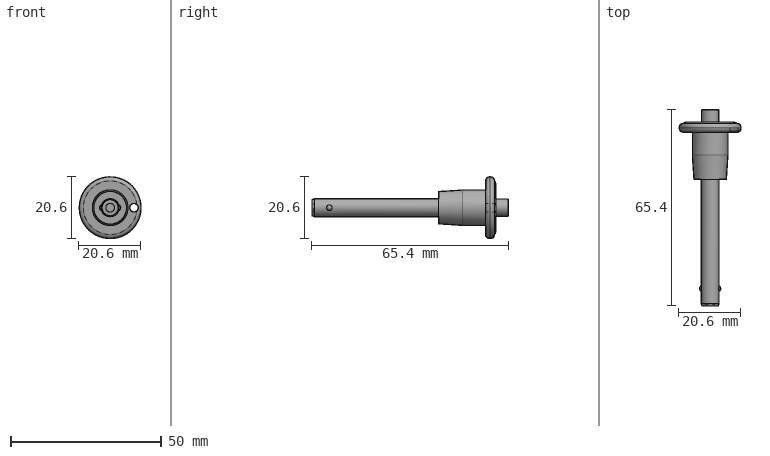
import cadquery as cq
import math

total_length = 65.4

shank_diameter = 6.0
tip_chamfer_length = 0.85
tip_chamfer_width = 0.3
recess_diameter = 2.9
recess_depth = 0.6

ball_diameter = 2.1
ball_span = 7.05
ball_from_tip = 5.8

collar_diameter = 11.9
collar_end_diameter = 10.85
collar_straight_length = 7.6
collar_taper_length = 8.05

flange_diameter = 20.6
rim_radius = 1.4
rim_band_width = 0.25
crown_height = 0.45
rear_face_diameter = 15.05
lanyard_hole_diameter = 2.75
lanyard_hole_offset = 7.9

button_diameter = 5.8
button_length = 4.2
button_chamfer = 0.25

tip_y = -total_length / 2
button_end_y = total_length / 2
flange_rear_y = button_end_y - button_length
rim_rear_y = flange_rear_y - crown_height
band_rear_y = rim_rear_y - rim_radius
band_front_y = band_rear_y - rim_band_width
flange_front_y = band_front_y - rim_radius
taper_start_y = flange_front_y - collar_straight_length
taper_end_y = taper_start_y - collar_taper_length


def make_body():
    """Revolve the half outline (radius along X) about the Y axis."""
    shank_radius = shank_diameter / 2
    collar_radius = collar_diameter / 2
    flange_radius = flange_diameter / 2
    button_radius = button_diameter / 2
    rim_center_radius = flange_radius - rim_radius
    rear_face_radius = rear_face_diameter / 2
    crown_width = rim_center_radius - rear_face_radius
    crown_radius = (crown_width**2 + crown_height**2) / (2 * crown_height)
    half_angle = math.asin(crown_width / crown_radius) / 2
    crown_middle = (
        rear_face_radius + crown_radius * math.sin(half_angle),
        flange_rear_y - crown_radius * (1 - math.cos(half_angle)),
    )
    diagonal = rim_radius * math.sqrt(0.5)
    return (
        cq.Workplane("XY")
        .moveTo(0, tip_y)
        .lineTo(shank_radius - tip_chamfer_width, tip_y)
        .lineTo(shank_radius, tip_y + tip_chamfer_length)
        .lineTo(shank_radius, taper_end_y)
        .lineTo(collar_end_diameter / 2, taper_end_y)
        .lineTo(collar_radius, taper_start_y)
        .lineTo(collar_radius, flange_front_y)
        .lineTo(rim_center_radius, flange_front_y)
        .threePointArc(
            (rim_center_radius + diagonal, band_front_y - diagonal),
            (flange_radius, band_front_y),
        )
        .lineTo(flange_radius, band_rear_y)
        .threePointArc(
            (rim_center_radius + diagonal, band_rear_y + diagonal),
            (rim_center_radius, rim_rear_y),
        )
        .threePointArc(crown_middle, (rear_face_radius, flange_rear_y))
        .lineTo(button_radius, flange_rear_y)
        .lineTo(button_radius, button_end_y - button_chamfer)
        .lineTo(button_radius - button_chamfer, button_end_y)
        .lineTo(0, button_end_y)
        .close()
        .revolve(360, (0, 0, 0), (0, 1, 0))
    )


def make_ball(side):
    """Locking ball on the +X (side = 1) or -X (side = -1) flank of the shank."""
    center_x = side * (ball_span - ball_diameter) / 2
    return cq.Workplane("XY").sphere(ball_diameter / 2).translate((center_x, tip_y + ball_from_tip, 0))


def make_hole(diameter, start_y, depth, center_x=0):
    """Cutter running along +Y from start_y."""
    return (
        cq.Workplane("XZ", origin=(center_x, start_y, 0))
        .circle(diameter / 2)
        .extrude(-depth)
    )


result = make_body()
for side in (-1, 1):
    result = result.union(make_ball(side))

tip_recess = make_hole(recess_diameter, tip_y, recess_depth)
flange_thickness = flange_rear_y - flange_front_y
lanyard_hole = make_hole(lanyard_hole_diameter, flange_front_y, flange_thickness, lanyard_hole_offset)
result = result.cut(tip_recess).cut(lanyard_hole)